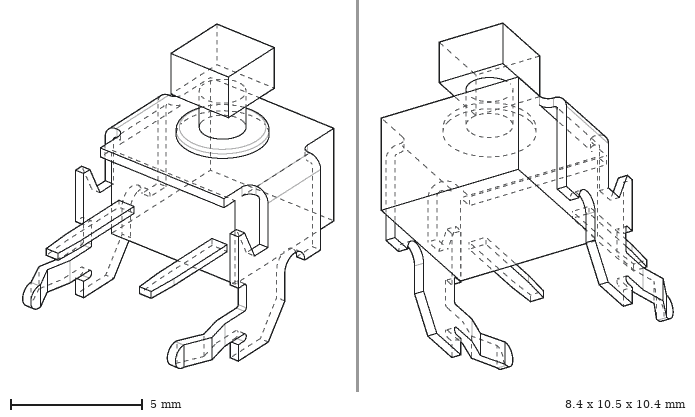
import cadquery as cq
import math


OVERALL_LENGTH = 10.51
OVERALL_WIDTH = 8.4

PICK_MARGIN = 0.1

BODY_SIDE = 6.0
BODY_HEIGHT = 3.69
BODY_BACK_Y = BODY_SIDE / 2

SHEET = 0.4
COVER_TOP_Z = BODY_HEIGHT + SHEET
COVER_FRONT_Y = -3.67
COVER_HALF_WIDTH = BODY_SIDE / 2
RELIEF_RADIUS = 0.38

COLLAR_DIAMETER = 3.53
COLLAR_HEIGHT = 0.33
COLLAR_FILLET = 0.13
STEM_DIAMETER = 1.78
CAP_SIDE = 2.8
CAP_HEIGHT = 1.8
CAP_BOTTOM_Z = 6.0

LEG_OUTER_X = 3.95
LEG_INNER_X = LEG_OUTER_X - SHEET
BEND_INNER_RADIUS = 0.14
BEND_OUTER_RADIUS = BEND_INNER_RADIUS + SHEET
BEND_CENTER_X = LEG_OUTER_X - BEND_OUTER_RADIUS
BEND_CENTER_Z = COVER_TOP_Z - BEND_OUTER_RADIUS
LEG_BACK_Y = 1.01
LEG_NECK_Y = -2.19
LEG_FRONT_Y = -3.98
LEG_BOTTOM_Z = -2.59
NOTCH_RADIUS = 0.6
FOOT_BACK_Y = -1.16
NOTCH_CENTER_Y = FOOT_BACK_Y + NOTCH_RADIUS
FOOT_SLOPE_TOP_Z = -1.24
FOOT_SLOPE_END_Y = -2.15
HORN_ROOT_Y = -3.0
HORN_ROOT_Z = 1.6
HORN_TIP_Y = -3.6
HORN_TOP_Z = 2.9
RECESS_Y = -3.5
RECESS_TOP_Z = 0.63
RECESS_BOTTOM_Z = -1.86
RECESS_FILLET = 0.1

PRONG_TOP_Z = -0.56
PRONG_WIDTH = 0.99
PRONG_BOTTOM_Z = PRONG_TOP_Z - PRONG_WIDTH
PRONG_END_Y = -7.49
PRONG_BEND_Y = -4.8
PRONG_APEX_Y = -5.89
PRONG_TIP_Y = -6.99
PRONG_TIP_INNER_Y = -6.9
PRONG_APEX_X = OVERALL_WIDTH / 2
PRONG_TIP_X = 3.71

PIN_X = 2.26
PIN_WIDTH = 0.74
PIN_TIP_WIDTH = 0.58
PIN_THICKNESS = 0.3
PIN_BOTTOM_Z = 1.3
PIN_TAPER_Y = -6.23
PIN_END_Y = BODY_BACK_Y - OVERALL_LENGTH


def mirrored(shape):
    """The shape together with its mirror image across X = 0."""
    return shape.union(shape.mirror("YZ"))


def make_body():
    return cq.Workplane("XY").box(BODY_SIDE, BODY_SIDE, BODY_HEIGHT, centered=(True, True, False))


def make_cover():
    """Flat cover: a main panel and a cross strip, with rounded inner corners."""
    panel_length = BODY_BACK_Y - COVER_FRONT_Y
    panel = (
        cq.Workplane("XY", origin=(0, BODY_BACK_Y - panel_length / 2, BODY_HEIGHT))
        .rect(2 * COVER_HALF_WIDTH, panel_length)
        .extrude(SHEET)
    )
    strip = (
        cq.Workplane("XY", origin=(0, (LEG_BACK_Y + LEG_NECK_Y) / 2, BODY_HEIGHT))
        .rect(2 * BEND_CENTER_X, LEG_BACK_Y - LEG_NECK_Y)
        .extrude(SHEET)
    )
    inner_corners = cq.selectors.BoxSelector(
        (-COVER_HALF_WIDTH - PICK_MARGIN, LEG_NECK_Y - PICK_MARGIN, BODY_HEIGHT - PICK_MARGIN),
        (COVER_HALF_WIDTH + PICK_MARGIN, LEG_BACK_Y + PICK_MARGIN, COVER_TOP_Z + PICK_MARGIN),
    )
    return panel.union(strip).edges("|Z").edges(inner_corners).fillet(RELIEF_RADIUS)


def make_button():
    collar = (
        cq.Workplane("XY", origin=(0, 0, COVER_TOP_Z))
        .circle(COLLAR_DIAMETER / 2)
        .extrude(COLLAR_HEIGHT)
        .faces(">Z")
        .edges()
        .fillet(COLLAR_FILLET)
    )
    stem = (
        cq.Workplane("XY", origin=(0, 0, COVER_TOP_Z))
        .circle(STEM_DIAMETER / 2)
        .extrude(CAP_BOTTOM_Z - COVER_TOP_Z)
    )
    cap = (
        cq.Workplane("XY", origin=(0, 0, CAP_BOTTOM_Z))
        .rect(CAP_SIDE, CAP_SIDE)
        .extrude(CAP_HEIGHT)
    )
    return collar.union(stem).union(cap)


def make_bend():
    """Quarter-round bend joining the cover to the right leg."""
    diagonal = math.sqrt(0.5)
    outer_mid = BEND_OUTER_RADIUS * diagonal
    inner_mid = BEND_INNER_RADIUS * diagonal
    return (
        cq.Workplane("XZ", origin=(0, LEG_BACK_Y, 0))
        .moveTo(BEND_CENTER_X, COVER_TOP_Z)
        .threePointArc(
            (BEND_CENTER_X + outer_mid, BEND_CENTER_Z + outer_mid),
            (LEG_OUTER_X, BEND_CENTER_Z),
        )
        .lineTo(LEG_INNER_X, BEND_CENTER_Z)
        .threePointArc(
            (BEND_CENTER_X + inner_mid, BEND_CENTER_Z + inner_mid),
            (BEND_CENTER_X, BODY_HEIGHT),
        )
        .close()
        .extrude(LEG_BACK_Y - LEG_NECK_Y)
    )


def make_leg_outline():
    """Side outline of a leg and its prong, extruded past the leg's full width."""
    prong_radius = PRONG_WIDTH / 2
    prong_arc_y = PRONG_END_Y + prong_radius
    slot_radius = (PRONG_BOTTOM_Z - RECESS_BOTTOM_Z) / 2
    slot_arc_y = RECESS_Y - slot_radius
    blank = (
        cq.Workplane("YZ")
        .moveTo(LEG_BACK_Y, BEND_CENTER_Z)
        .lineTo(LEG_BACK_Y, 0)
        .lineTo(NOTCH_CENTER_Y + NOTCH_RADIUS, 0)
        .threePointArc((NOTCH_CENTER_Y, NOTCH_RADIUS), (FOOT_BACK_Y, 0))
        .lineTo(FOOT_BACK_Y, FOOT_SLOPE_TOP_Z)
        .lineTo(FOOT_SLOPE_END_Y, LEG_BOTTOM_Z)
        .lineTo(LEG_FRONT_Y, LEG_BOTTOM_Z)
        .lineTo(LEG_FRONT_Y, RECESS_BOTTOM_Z)
        .lineTo(slot_arc_y, RECESS_BOTTOM_Z)
        .threePointArc((RECESS_Y, PRONG_BOTTOM_Z - slot_radius), (slot_arc_y, PRONG_BOTTOM_Z))
        .lineTo(prong_arc_y, PRONG_BOTTOM_Z)
        .threePointArc((PRONG_END_Y, PRONG_TOP_Z - prong_radius), (prong_arc_y, PRONG_TOP_Z))
        .lineTo(RECESS_Y, PRONG_TOP_Z)
        .lineTo(RECESS_Y, RECESS_TOP_Z)
        .lineTo(LEG_FRONT_Y, RECESS_TOP_Z)
        .lineTo(LEG_FRONT_Y, HORN_TOP_Z)
        .lineTo(HORN_TIP_Y, HORN_TOP_Z)
        .lineTo(HORN_ROOT_Y, HORN_ROOT_Z)
        .lineTo(LEG_NECK_Y, HORN_ROOT_Z)
        .lineTo(LEG_NECK_Y, BEND_CENTER_Z)
        .close()
        .extrude(PRONG_APEX_X + SHEET)
    )
    recess_corners = cq.selectors.BoxSelector(
        (0, RECESS_Y - PICK_MARGIN, PRONG_TOP_Z - PICK_MARGIN),
        (PRONG_APEX_X + SHEET, RECESS_Y + PICK_MARGIN, RECESS_TOP_Z + PICK_MARGIN),
    )
    return blank.edges("|X").edges(recess_corners).fillet(RECESS_FILLET)


def make_leg_strip():
    """Plan of the bent strip that a leg and its prong are cut from."""
    outer_side = [
        (LEG_OUTER_X, LEG_BACK_Y),
        (LEG_OUTER_X, PRONG_BEND_Y),
        (PRONG_APEX_X, PRONG_APEX_Y),
        (PRONG_TIP_X, PRONG_TIP_Y),
        (PRONG_TIP_X, PRONG_END_Y),
    ]
    inner_side = [
        (PRONG_TIP_X - SHEET, PRONG_END_Y),
        (PRONG_TIP_X - SHEET, PRONG_TIP_INNER_Y),
        (PRONG_APEX_X - SHEET, PRONG_APEX_Y),
        (LEG_INNER_X, PRONG_BEND_Y),
        (LEG_INNER_X, LEG_BACK_Y),
    ]
    return (
        cq.Workplane("XY", origin=(0, 0, LEG_BOTTOM_Z))
        .polyline(outer_side + inner_side)
        .close()
        .extrude(COVER_TOP_Z - LEG_BOTTOM_Z)
    )


def make_pin():
    """Right contact pin, from the housing front to its tapered tip."""
    half_width = PIN_WIDTH / 2
    half_tip = PIN_TIP_WIDTH / 2
    return (
        cq.Workplane("XY", origin=(PIN_X, 0, PIN_BOTTOM_Z))
        .polyline([
            (-half_width, -BODY_SIDE / 2),
            (-half_width, PIN_TAPER_Y),
            (-half_tip, PIN_END_Y),
            (half_tip, PIN_END_Y),
            (half_width, PIN_TAPER_Y),
            (half_width, -BODY_SIDE / 2),
        ])
        .close()
        .extrude(PIN_THICKNESS)
    )


leg = make_leg_outline().intersect(make_leg_strip()).union(make_bend())

result = (
    make_body()
    .union(make_cover())
    .union(make_button())
    .union(mirrored(leg))
    .union(mirrored(make_pin()))
)